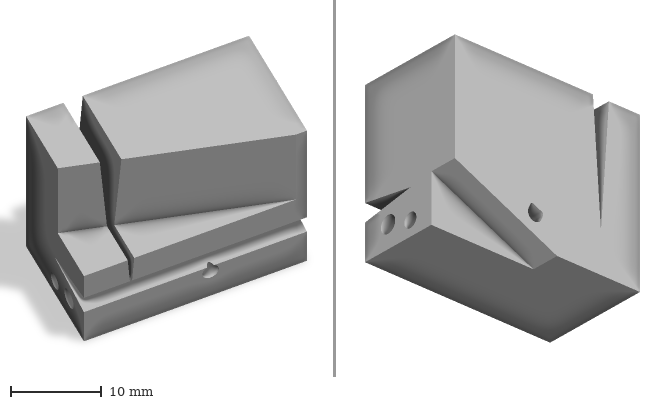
import cadquery as cq

width, length, height = 15.0, 27.13, 22.46

top_slot_y, top_slot_mouth, top_slot_depth = 5.72, 2.33, 16.87

side_slot_z, side_slot_mouth, side_slot_depth = 6.27, 2.47, 7.6

pocket_floor_z = 11.25
pocket_front_x = 8.22
pocket_end_y = 25.77

relief_start_y, relief_back_z, relief_depth = 12.15, 6.78, 3.93

hole_diameter = 2.0
large_hole_diameter = 2.4
small_hole_x, small_hole_z = 7.43, 2.1
large_hole_x, large_hole_z = 11.15, 3.15
cross_hole_y, cross_hole_z = 15.4, 4.12

mouth_depth, mouth_tilt, mouth_corner_radius = 3.93, 24, 0.35


def prism_along_x(points, depth):
    """Extrude a (y, z) outline from the left face."""
    return cq.Workplane("YZ").polyline(points).close().extrude(depth)


def prism_along_y(points):
    """Extrude an (x, z) outline through the length."""
    return cq.Workplane("XZ").polyline(points).close().extrude(-length)


def hole_along_y(x, z, diameter):
    return cq.Workplane("XZ").center(x, z).circle(diameter / 2).extrude(-length)


block = cq.Workplane("XY").box(width, length, height, centered=False)

top_slot = prism_along_x(
    [
        (top_slot_y - top_slot_mouth / 2, height),
        (top_slot_y, height - top_slot_depth),
        (top_slot_y + top_slot_mouth / 2, height),
    ],
    width,
)

side_slot = prism_along_y(
    [
        (width, side_slot_z - side_slot_mouth / 2),
        (width - side_slot_depth, side_slot_z),
        (width, side_slot_z + side_slot_mouth / 2),
    ]
)

pocket = (
    cq.Workplane("XY", origin=(0, 0, pocket_floor_z))
    .polyline([(pocket_front_x, 0), (width, 0), (width, pocket_end_y)])
    .close()
    .extrude(height - pocket_floor_z)
)

relief = prism_along_x([(relief_start_y, 0), (length, 0), (length, relief_back_z)], relief_depth)

small_hole = hole_along_y(small_hole_x, small_hole_z, hole_diameter)
large_hole = hole_along_y(large_hole_x, large_hole_z, large_hole_diameter)
cross_hole = (
    cq.Workplane("YZ").center(cross_hole_y, cross_hole_z).circle(hole_diameter / 2).extrude(width)
)

cross_hole_mouth = (
    cq.Workplane("YZ")
    .center(cross_hole_y, cross_hole_z)
    .rect(hole_diameter, hole_diameter / 2)
    .extrude(mouth_depth)
    .translate((0, 0, hole_diameter / 4))
    .faces(">Z")
    .edges("|X")
    .fillet(mouth_corner_radius)
    .rotate((0, cross_hole_y, cross_hole_z), (1, cross_hole_y, cross_hole_z), mouth_tilt)
)

cutters = (
    top_slot,
    side_slot,
    pocket,
    relief,
    small_hole,
    large_hole,
    cross_hole,
    cross_hole_mouth,
)
result = block
for cutter in cutters:
    result = result.cut(cutter)